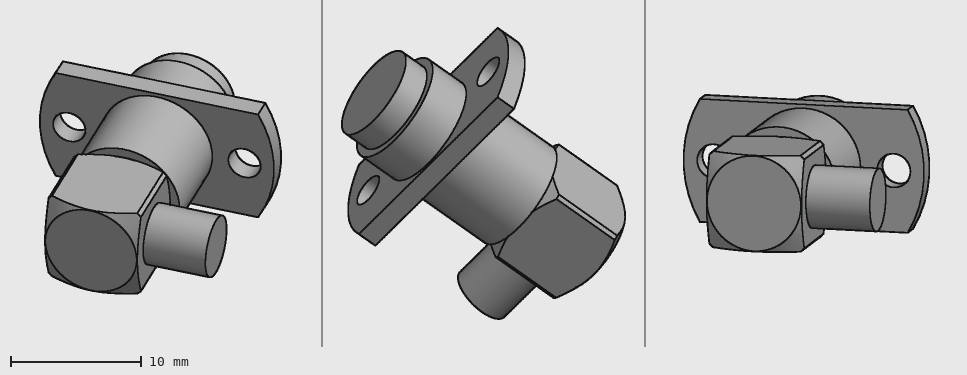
import cadquery as cq


total_length = 22.0

block_side = 7.5
block_length = block_side
block_corner_diameter = 10.2
block_end_diameter = 7.41
block_cone_length = 0.84

tube_diameter = 4.85
tube_end_x = 8.8

body_length = total_length - block_length
barrel_diameter = 9.0
nose_diameter = 7.61
nose_length = 2.1
barrel_length = body_length - nose_length

flange_diameter = 19.0
flange_height = 9.6
flange_thickness = 1.65
flange_start_y = 7.41
hole_diameter = 2.62
hole_offset_x = 7.1


def cylinder_along_y(diameter, start_y, length):
    """Cylinder on the main axis, running from start_y toward +Y."""
    plane = cq.Workplane("XZ", origin=(0, start_y, 0))
    return plane.circle(diameter / 2).extrude(-length)


def make_flange():
    disc = cylinder_along_y(flange_diameter, flange_start_y, flange_thickness)
    middle_y = flange_start_y + flange_thickness / 2
    between_flats = cq.Workplane("XY", origin=(0, middle_y, 0)).box(
        flange_diameter, flange_thickness, flange_height
    )
    holes = (
        cq.Workplane("XZ", origin=(0, flange_start_y, 0))
        .pushPoints([(-hole_offset_x, 0), (hole_offset_x, 0)])
        .circle(hole_diameter / 2)
        .extrude(-flange_thickness)
    )
    return disc.intersect(between_flats).cut(holes)


def make_connector_body():
    barrel = cylinder_along_y(barrel_diameter, 0, barrel_length)
    nose = cylinder_along_y(nose_diameter, barrel_length, nose_length)
    return barrel.union(nose).union(make_flange())


def make_elbow_block():
    square_bar = cq.Workplane("XY", origin=(0, -block_length / 2, 0)).box(
        block_side, block_length, block_side
    )
    end_radius = block_end_diameter / 2
    corner_radius = block_corner_diameter / 2
    turned_envelope = (
        cq.Workplane("XY")
        .moveTo(0, 0)
        .lineTo(end_radius, 0)
        .lineTo(corner_radius, -block_cone_length)
        .lineTo(corner_radius, block_cone_length - block_length)
        .lineTo(end_radius, -block_length)
        .lineTo(0, -block_length)
        .close()
        .revolve(360, (0, 0, 0), (0, 1, 0))
    )
    return square_bar.intersect(turned_envelope)


def make_cable_tube():
    side_face_x = block_side / 2
    plane = cq.Workplane("YZ", origin=(side_face_x, -block_length / 2, 0))
    return plane.circle(tube_diameter / 2).extrude(tube_end_x - side_face_x)


connector_body = make_connector_body()
elbow_block = make_elbow_block()
cable_tube = make_cable_tube()

result = cq.Compound.makeCompound([connector_body.val(), elbow_block.val(), cable_tube.val()])